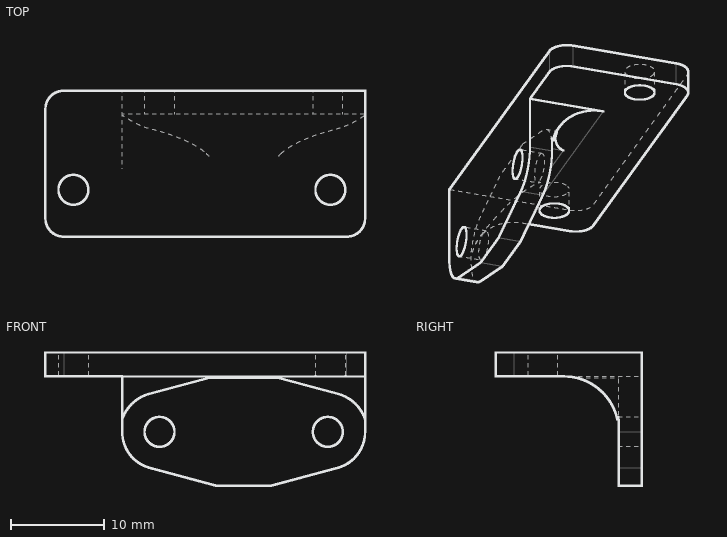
import cadquery as cq
import math

plate_length = 34.25
plate_width = 15.65
plate_thickness = 2.57
plate_corner_radius = 2.0
hole_diameter = 3.2
plate_hole_left = 3.0
plate_hole_spacing = 27.5
plate_hole_setback = 5.05

total_height = 14.28
flange_thickness = 2.5
flange_hole_spacing = 18.0
flange_end_radius = 4.0
flange_half_height = 5.8
flange_taper = math.radians(15)
fillet_radius = 5.82
pad_clearance = 0.2

flange_length = flange_hole_spacing + 2 * flange_end_radius
flange_center_x = plate_length - flange_length / 2
flange_center_z = flange_half_height - total_height
flange_front_y = plate_width - flange_thickness


def pad_outline(end_radius, half_height):
    """Closed outline with round ends, sloping edges and flats, facing the front."""
    end_x = flange_hole_spacing / 2
    tangent_x = end_x + end_radius * math.sin(flange_taper)
    tangent_z = end_radius * math.cos(flange_taper)
    flat_x = tangent_x - (half_height - tangent_z) / math.tan(flange_taper)
    return (
        cq.Workplane("XZ", origin=(flange_center_x, flange_front_y, flange_center_z))
        .moveTo(-flat_x, half_height)
        .lineTo(flat_x, half_height)
        .lineTo(tangent_x, tangent_z)
        .threePointArc((end_x + end_radius, 0), (tangent_x, -tangent_z))
        .lineTo(flat_x, -half_height)
        .lineTo(-flat_x, -half_height)
        .lineTo(-tangent_x, -tangent_z)
        .threePointArc((-end_x - end_radius, 0), (-tangent_x, tangent_z))
        .close()
    )


def make_plate():
    """Plate with two holes and every corner rounded except the back right one."""
    plate = cq.Workplane("XY").box(plate_length, plate_width, plate_thickness, centered=False)
    plate = plate.translate((0, 0, -plate_thickness))
    plate = plate.edges("|Z").edges("<X or <Y").fillet(plate_corner_radius)
    hole_points = [
        (plate_hole_left, plate_hole_setback),
        (plate_hole_left + plate_hole_spacing, plate_hole_setback),
    ]
    holes = (
        cq.Workplane("XY").pushPoints(hole_points)
        .circle(hole_diameter / 2).extrude(-plate_thickness)
    )
    return plate.cut(holes)


def make_flange():
    """Tapered flange joined to the plate by a concave web, cleared around the pad."""
    arc_middle = fillet_radius * (1 - math.sqrt(0.5))
    web = (
        cq.Workplane("YZ", origin=(plate_length - flange_length, 0, 0))
        .moveTo(plate_width, -plate_thickness)
        .lineTo(flange_front_y - fillet_radius, -plate_thickness)
        .threePointArc(
            (flange_front_y - arc_middle, -plate_thickness - arc_middle),
            (flange_front_y, -plate_thickness - fillet_radius),
        )
        .lineTo(flange_front_y, flange_center_z)
        .lineTo(plate_width, flange_center_z)
        .close()
        .extrude(flange_length)
    )
    recess = pad_outline(flange_end_radius + pad_clearance, flange_half_height)
    web = web.cut(recess.extrude(fillet_radius))
    pad = pad_outline(flange_end_radius, flange_half_height).extrude(-flange_thickness)
    holes = (
        cq.Workplane("XZ", origin=(flange_center_x, flange_front_y, flange_center_z))
        .pushPoints([(-flange_hole_spacing / 2, 0), (flange_hole_spacing / 2, 0)])
        .circle(hole_diameter / 2)
        .extrude(-flange_thickness)
    )
    return web.union(pad).cut(holes)


result = make_plate().union(make_flange())